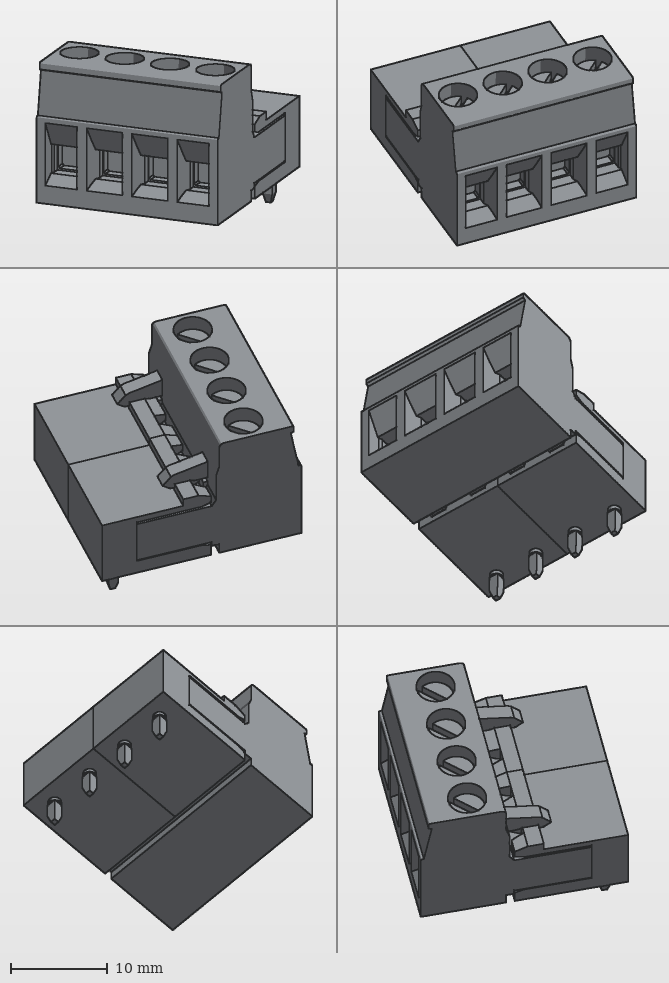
import cadquery as cq


pole_count = 4
header_count = 2
total_width = 20.33
total_depth = 22.0
plug_height = 15.0
pin_length = 3.52

pitch = total_width / pole_count
header_width = total_width / header_count
poles_per_header = pole_count // header_count
pole_positions = [(i - (pole_count - 1) / 2) * pitch for i in range(pole_count)]

ledge_z = 9.4
ledge_depth = 0.33
ledge_radius = 0.22
front_lip_y = 0.84
front_lip_radius = 0.22
front_lip_underside = 14.25
neck_y = 1.17
neck_z = 14.08
rear_wall_y = 9.06
shoulder_y = 9.42
shoulder_slope_top = 11.92
shoulder_top = 10.78
shoulder_bottom = 7.41
nose_root_y = 9.9
nose_tip_y = 18.15
nose_bottom = 1.74
nose_top = 6.69
foot_notch_top = 1.19
crest_radius = 0.53

entry_bottom = 1.98
entry_top = 8.78
entry_mouth_half = 2.0
entry_bend_y = 0.84
entry_bend_half = 1.83
entry_throat_y = 1.55
entry_throat_half = 1.63
entry_floor = 2.88
entry_ceiling = 6.05
entry_straight_y = 2.05
entry_end_y = 2.85
entry_end_half = 1.39
entry_side_limit = 9.17
clamp_half_width = 1.28
clamp_floor = 3.08
clamp_corner = 0.18
clamp_end_y = 3.95

screw_y = 5.48
screw_well_diameter = 4.0
screw_diameter = 3.78
screw_head_depth = 1.6
slot_width = 0.65
slot_depth = 1.0
slot_angle = 45

latch_spacing = 13.65
latch_width = 1.58
latch_stub_top = 7.85
latch_root_top = 10.6
latch_arm_start = (9.7, 10.52)
latch_arm_end = (13.11, 9.85)
latch_brow = (13.46, 9.68)
latch_tip = (14.39, 8.73)
latch_barb_y = 13.55
latch_barb_bottom = 8.12
latch_underside = 8.4

rib_bottom = 0.77
rib_top_width = 2.65
rib_bottom_width = 1.75

header_top = 7.68
header_front_y = 9.97
lip_top = 8.58
lip_back_y = 13.05
lip_crest_y = 11.35
lip_front_top = 8.07
lip_front_bottom = 7.25
socket_floor = 1.63
socket_ceiling = 6.95
lead_in_y = 10.95
lead_in_floor = 1.36
lip_notch_front_width = 1.95
lip_notch_back_width = 1.28

pin_y = 19.98
collar_diameter = 1.4
collar_height = 0.53
pin_width = 1.05
pin_tip_width = 0.55
pin_tip_length = 1.0


def extrude_along_x(points, width, center_x=0.0):
    """Extrude a (Y, Z) outline symmetrically about center_x."""
    plane = cq.Workplane("YZ", origin=(center_x, 0, 0))
    return plane.polyline(points).close().extrude(width / 2, both=True)


def plug_housing():
    outline = [
        (0, 0),
        (0, ledge_z),
        (ledge_depth, ledge_z),
        (neck_y, neck_z),
        (front_lip_y, front_lip_underside),
        (front_lip_y, plug_height),
        (rear_wall_y, plug_height),
        (rear_wall_y, shoulder_slope_top),
        (shoulder_y, shoulder_top),
        (shoulder_y, shoulder_bottom),
        (nose_root_y, nose_top),
        (nose_tip_y, nose_top),
        (nose_tip_y, nose_bottom),
        (nose_root_y, nose_bottom),
        (nose_root_y, foot_notch_top),
        (rear_wall_y, foot_notch_top),
        (rear_wall_y, 0),
    ]
    housing = extrude_along_x(outline, total_width)
    for y, z, radius in [
        (0, ledge_z, ledge_radius),
        (front_lip_y, plug_height, front_lip_radius),
        (rear_wall_y, plug_height, crest_radius),
    ]:
        edge = cq.selectors.NearestToPointSelector((0, y, z))
        housing = housing.edges(edge).fillet(radius)
    return housing


def wire_entry(x):
    """Funnel that narrows from the front face to the clamp opening."""
    side = [
        (0, entry_bottom),
        (entry_throat_y, entry_floor),
        (entry_end_y, entry_floor),
        (entry_end_y, entry_ceiling),
        (entry_throat_y, entry_ceiling),
        (0, entry_top),
    ]
    half_plan = [
        (entry_mouth_half, 0),
        (entry_bend_half, entry_bend_y),
        (entry_throat_half, entry_throat_y),
        (entry_end_half, entry_straight_y),
        (entry_end_half, entry_end_y),
    ]
    plan = half_plan + [(-half, y) for half, y in reversed(half_plan)]
    funnel = cq.Workplane("XY").polyline(plan).close().extrude(plug_height)
    funnel = funnel.translate((x, 0, 0)).intersect(extrude_along_x(side, 2 * entry_side_limit))

    clamp_height = entry_ceiling - clamp_floor
    clamp = (
        cq.Workplane("XY")
        .box(2 * clamp_half_width, clamp_end_y, clamp_height, centered=(True, False, False))
        .edges("|Y and <Z")
        .chamfer(clamp_corner)
        .translate((x, 0, clamp_floor))
    )
    clamp_recess = clamp.intersect(
        cq.Workplane("XY")
        .box(total_width, clamp_end_y - entry_end_y, plug_height, centered=(True, False, False))
        .translate((0, entry_end_y, 0))
    )
    return funnel.union(clamp_recess)


def screw_well(x):
    """Round well whose floor carries a slotted screw head."""
    well_depth = screw_head_depth + slot_depth
    well_floor = plug_height - well_depth
    floor_plane = cq.Workplane("XY", origin=(x, screw_y, well_floor))
    well = floor_plane.circle(screw_well_diameter / 2).extrude(well_depth)
    head = floor_plane.circle(screw_diameter / 2).extrude(slot_depth)
    slot = (
        cq.Workplane("XY")
        .box(screw_well_diameter, slot_width, slot_depth, centered=(True, True, False))
        .rotate((0, 0, 0), (0, 0, 1), slot_angle)
        .translate((x, screw_y, well_floor))
    )
    return well.cut(head.cut(slot))


def latch(x):
    """Hook that reaches over the header lip, with a short stub below it."""
    lip_slope = (lip_top - lip_front_top) / (lip_crest_y - header_front_y)
    lip_contact_y = lip_crest_y - (lip_top - latch_underside) / lip_slope
    hook = [
        (shoulder_y, latch_root_top),
        latch_arm_start,
        latch_arm_end,
        latch_brow,
        latch_tip,
        (latch_barb_y, latch_barb_bottom),
        (lip_back_y, latch_barb_bottom),
        (lip_back_y, lip_top),
        (lip_crest_y, lip_top),
        (lip_contact_y, latch_underside),
        (shoulder_y, latch_underside),
    ]
    stub = [
        (shoulder_y, nose_top),
        (shoulder_y, latch_stub_top),
        (nose_root_y, latch_stub_top),
        (nose_root_y, nose_top),
    ]
    return extrude_along_x(hook, latch_width, x).union(extrude_along_x(stub, latch_width, x))


def guide_rib(x):
    """Tapered rib along the underside of the nose; its groove in the header has the same shape."""
    section = [
        (x - rib_top_width / 2, nose_bottom),
        (x + rib_top_width / 2, nose_bottom),
        (x + rib_bottom_width / 2, rib_bottom),
        (x - rib_bottom_width / 2, rib_bottom),
    ]
    plane = cq.Workplane("XZ", origin=(0, nose_tip_y, 0))
    return plane.polyline(section).close().extrude(nose_tip_y - nose_root_y)


def build_plug():
    plug = plug_housing()
    for x in pole_positions:
        plug = plug.union(guide_rib(x)).cut(wire_entry(x)).cut(screw_well(x))
    for side in (-1, 1):
        plug = plug.union(latch(side * latch_spacing / 2))
    return plug


def header_shell(center_x):
    """C-shaped channel with a raised lip along its upper front edge."""
    outline = [
        (total_depth, 0),
        (total_depth, header_top),
        (lip_back_y, header_top),
        (lip_back_y, lip_top),
        (lip_crest_y, lip_top),
        (header_front_y, lip_front_top),
        (header_front_y, lip_front_bottom),
        (lead_in_y, socket_ceiling),
        (nose_tip_y, socket_ceiling),
        (nose_tip_y, socket_floor),
        (lead_in_y, socket_floor),
        (header_front_y, lead_in_floor),
        (header_front_y, 0),
    ]
    return extrude_along_x(outline, header_width, center_x)


def lip_notch(x):
    """Notch through the lip that widens toward the front."""
    plan = [
        (x - lip_notch_front_width / 2, header_front_y),
        (x + lip_notch_front_width / 2, header_front_y),
        (x + lip_notch_back_width / 2, lip_crest_y),
        (x - lip_notch_back_width / 2, lip_crest_y),
    ]
    plane = cq.Workplane("XY", origin=(0, 0, nose_top))
    return plane.polyline(plan).close().extrude(lip_top - nose_top)


def solder_pin(x):
    """Round collar, square shank and tapered square tip below the header."""
    below = cq.Workplane("XY", origin=(x, pin_y, 0))
    shank_length = pin_length - pin_tip_length
    collar = below.circle(collar_diameter / 2).extrude(-collar_height)
    shank = (
        below.workplane(offset=-collar_height)
        .rect(pin_width, pin_width)
        .extrude(collar_height - shank_length)
    )
    tip = (
        below.workplane(offset=-shank_length)
        .rect(pin_width, pin_width)
        .workplane(offset=-pin_tip_length)
        .rect(pin_tip_width, pin_tip_width)
        .loft(combine=False)
    )
    return collar.union(shank).union(tip)


def build_header(index):
    first_pole = index * poles_per_header
    header = header_shell((index - (header_count - 1) / 2) * header_width)
    for x in pole_positions[first_pole:first_pole + poles_per_header]:
        header = header.cut(lip_notch(x)).cut(guide_rib(x)).union(solder_pin(x))
    return header


plug = build_plug()
headers = [build_header(index) for index in range(header_count)]

result = cq.Compound.makeCompound([plug.val(), *[header.val() for header in headers]])